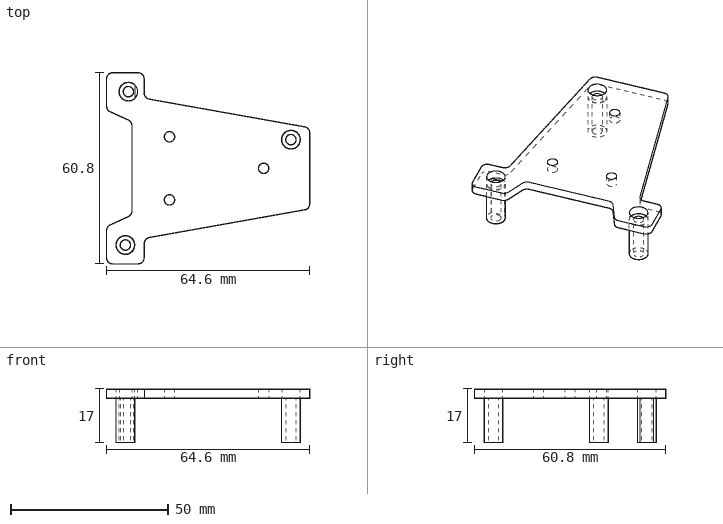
import cadquery as cq

length = 64.6
width = 60.8
thickness = 3.0
total_height = 17.0
corner_radius = 2.0

ear_length = 12.0
notch_depth = 8.1
ear_inner_y = 18.5
notch_half_width = 14.8
wide_half_width = 22.3
narrow_half_width = 12.9

hole_diameter = 3.2
rear_hole_x = 20.0
rear_hole_y = 10.0
front_hole_x = 49.95

post_diameter = 6.0
counterbore_diameter = 5.8
counterbore_floor = 0.1
counterbore_depth = thickness - counterbore_floor
ear_post_x = ear_length / 2
ear_post_y = 24.35
end_post_x = length - ear_post_x
end_post_y = 9.1
upper_post_shift = 1.0
post_flat_x = 9.05

post_height = total_height - thickness
upper_post = (ear_post_x + upper_post_shift, ear_post_y)
post_points = [upper_post, (ear_post_x, -ear_post_y), (end_post_x, end_post_y)]
mounting_points = [(rear_hole_x, rear_hole_y), (rear_hole_x, -rear_hole_y), (front_hole_x, 0)]


def make_plate():
    """Tapered plate with two ears; every corner is rounded."""
    upper_half = [
        (length, narrow_half_width),
        (ear_length, wide_half_width),
        (ear_length, width / 2),
        (0, width / 2),
        (0, ear_inner_y),
        (notch_depth, notch_half_width),
    ]
    lower_half = [(x, -y) for x, y in reversed(upper_half)]
    outline = cq.Workplane("XY").workplane(offset=post_height).polyline(upper_half + lower_half).close()
    return outline.extrude(thickness).edges("|Z").fillet(corner_radius)


def cylinders(points, diameter, bottom, top):
    """Vertical cylinders centred on the given points."""
    plane = cq.Workplane("XY").workplane(offset=bottom)
    return plane.pushPoints(points).circle(diameter / 2).extrude(top - bottom)


def upper_post_trim():
    """Block that removes the shifted post's +X side, below the plate."""
    block = cq.Workplane("XY").box(post_diameter, post_diameter, post_height, centered=(False, True, False))
    return block.translate((post_flat_x, ear_post_y, 0))


posts = cylinders(post_points, post_diameter, 0, post_height).cut(upper_post_trim())
bores = cylinders(post_points, hole_diameter, 0, total_height)
counterbores = cylinders(post_points, counterbore_diameter, total_height - counterbore_depth, total_height)
mounting_holes = cylinders(mounting_points, hole_diameter, post_height, total_height)

result = make_plate().union(posts).cut(bores).cut(counterbores).cut(mounting_holes)